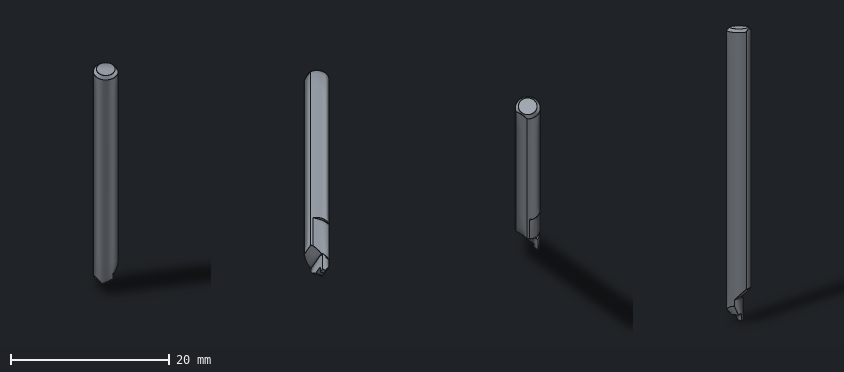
import cadquery as cq
import math

SHANK_DIAMETER = 3.175
SHANK_RADIUS = SHANK_DIAMETER / 2
TOTAL_LENGTH = 38.1
REAR_CHAMFER = 0.4
FLAT_OFFSET = 1.3325

NECK_TOP = 9.6
TIP_TOP = 2.9
NECK_DEPTH = 0.29
NECK_HALF_WIDTH = 1.15

RAKE_RUNOUT_SLOPE = 45.0
RAKE_RUNOUT_START = 3.19
TIP_WIDTH = 0.62
TIP_PROJECTION = 1.0
TIP_CORNER_RADIUS = 0.25
NOSE_RADIUS = 0.06
SIDE_CLEARANCE = 22.0
SIDE_FACE_RADIUS = 3.6
NOSE_CHAMFER_START = 0.19
FRONT_CLEARANCE = 25.0
FRONT_CLEARANCE_TOP = 2.43
END_RELIEF = 10.0

OVERCUT = 1.0


def shank():
    bar = cq.Workplane("XY").circle(SHANK_RADIUS).extrude(TOTAL_LENGTH)
    bar = bar.faces(">Z").chamfer(REAR_CHAMFER)
    flat = (
        cq.Workplane("XY")
        .box(SHANK_DIAMETER, SHANK_DIAMETER, TOTAL_LENGTH, centered=(True, False, False))
        .translate((0, FLAT_OFFSET, 0))
    )
    return bar.cut(flat)


def neck_relief():
    """Cutter bounded by a shallow arc across the -X side."""
    runout_x = -math.sqrt(SHANK_RADIUS**2 - NECK_HALF_WIDTH**2)
    outer_x = -SHANK_RADIUS - OVERCUT
    return (
        cq.Workplane("XY", origin=(0, 0, TIP_TOP))
        .moveTo(outer_x, -NECK_HALF_WIDTH)
        .lineTo(runout_x, -NECK_HALF_WIDTH)
        .threePointArc((-SHANK_RADIUS + NECK_DEPTH, 0), (runout_x, NECK_HALF_WIDTH))
        .lineTo(outer_x, NECK_HALF_WIDTH)
        .close()
        .extrude(NECK_TOP - TIP_TOP)
    )


def rake_cut():
    """Cutter that removes the +Y half below a sloped run-out."""
    outer_y = SHANK_RADIUS + OVERCUT
    outer_z = RAKE_RUNOUT_START + outer_y * math.tan(math.radians(RAKE_RUNOUT_SLOPE))
    return (
        cq.Workplane("YZ")
        .moveTo(0, -OVERCUT)
        .lineTo(0, RAKE_RUNOUT_START)
        .lineTo(outer_y, outer_z)
        .lineTo(outer_y, -OVERCUT)
        .close()
        .extrude(SHANK_DIAMETER, both=True)
    )


def front_clearance():
    """Cutter for the sloped clearance on -Y and the end relief below the tip."""
    slope = math.tan(math.radians(FRONT_CLEARANCE))
    relief = math.tan(math.radians(END_RELIEF))
    corner_y = -(SHANK_RADIUS - FRONT_CLEARANCE_TOP * slope) / (1 - slope * relief)
    corner_z = -corner_y * relief
    top_z = FRONT_CLEARANCE_TOP + OVERCUT / slope
    outer_y = -SHANK_RADIUS - OVERCUT
    return (
        cq.Workplane("YZ")
        .moveTo(0, 0)
        .lineTo(corner_y, corner_z)
        .lineTo(outer_y, top_z)
        .lineTo(outer_y, -OVERCUT)
        .lineTo(0, -OVERCUT)
        .close()
        .extrude(SHANK_DIAMETER, both=True)
    )


def side_clearance():
    """Cutter that leaves a gently curved side face behind the cutting edge on -X."""
    runout_angle = math.radians(2 * SIDE_CLEARANCE)
    runout_x = -SHANK_RADIUS * math.cos(runout_angle)
    runout_y = -SHANK_RADIUS * math.sin(runout_angle)
    outer_x = -SHANK_RADIUS - OVERCUT
    return (
        cq.Workplane("XY")
        .moveTo(-SHANK_RADIUS, 0)
        .radiusArc((runout_x, runout_y), -SIDE_FACE_RADIUS)
        .lineTo(outer_x, runout_y)
        .lineTo(outer_x, 0)
        .close()
        .extrude(TIP_TOP)
    )


def nose_rounding():
    """Cutter that rounds the cutting corner between the side and the end of the tip."""
    corner = cq.Workplane("XZ").rect(2 * NOSE_RADIUS, 2 * NOSE_RADIUS)
    corner = corner.extrude(SHANK_DIAMETER, both=True).translate((-SHANK_RADIUS, 0, 0))
    rounding = cq.Workplane("XZ").circle(NOSE_RADIUS).extrude(SHANK_DIAMETER, both=True)
    return corner.cut(rounding.translate((-SHANK_RADIUS + NOSE_RADIUS, 0, NOSE_RADIUS)))


def nose_cut():
    """Cutter that leaves the narrow tip on -X and a 45 degree nose chamfer on +X."""
    tip_x = -SHANK_RADIUS + TIP_WIDTH
    outer_x = SHANK_RADIUS + OVERCUT
    return (
        cq.Workplane("XZ")
        .moveTo(tip_x, -OVERCUT)
        .lineTo(tip_x, TIP_PROJECTION)
        .lineTo(NOSE_CHAMFER_START, TIP_PROJECTION)
        .lineTo(outer_x, TIP_PROJECTION + outer_x - NOSE_CHAMFER_START)
        .lineTo(outer_x, -OVERCUT)
        .close()
        .extrude(SHANK_DIAMETER, both=True)
        .edges(cq.selectors.NearestToPointSelector((tip_x, 0, TIP_PROJECTION)))
        .fillet(TIP_CORNER_RADIUS)
    )


result = (
    shank()
    .cut(neck_relief())
    .cut(rake_cut())
    .cut(front_clearance())
    .cut(side_clearance())
    .cut(nose_cut())
    .cut(nose_rounding())
)